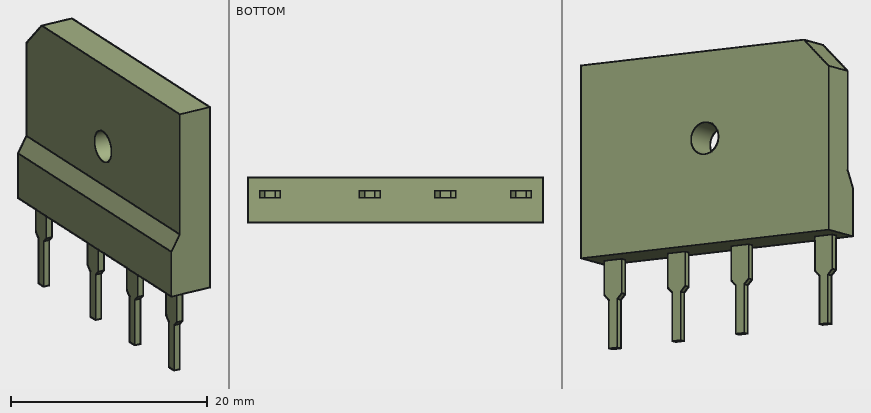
import cadquery as cq
import math

body_width = 30.0
body_height = 19.92
base_depth = 4.6
upper_depth = 3.6
base_height = 4.95
slope_angle = 60.0
slope_rise = (base_depth - upper_depth) * math.tan(math.radians(slope_angle))
corner_chamfer = 3.0

hole_diameter = 3.3
hole_drop = 9.0

lead_length = 9.1
lead_thickness = 0.7
lead_offset = 2.88
lead_wide = 2.13
lead_narrow = 1.05
shoulder_drop = 3.55
lead_inset = 2.25
lead_pitch = 7.68


def make_body():
    """Side profile run across the width, with one top corner cut off."""
    body = (
        cq.Workplane("YZ")
        .moveTo(0, 0)
        .lineTo(-base_depth, 0)
        .lineTo(-base_depth, base_height)
        .lineTo(-upper_depth, base_height + slope_rise)
        .lineTo(-upper_depth, body_height)
        .lineTo(0, body_height)
        .close()
        .extrude(body_width / 2, both=True)
    )
    return body.edges("|Y and >Z and <X").chamfer(corner_chamfer)


def make_mounting_hole():
    """Cutter for the round hole through the upper plate."""
    return (
        cq.Workplane("XZ")
        .center(0, body_height - hole_drop)
        .circle(hole_diameter / 2)
        .extrude(base_depth)
    )


def make_lead(x):
    """Flat lead below the body, narrowing at a 45 degree shoulder."""
    half_wide = lead_wide / 2
    half_narrow = lead_narrow / 2
    taper_end = shoulder_drop + half_wide - half_narrow
    return (
        cq.Workplane("XZ", origin=(x, -lead_offset, 0))
        .moveTo(-half_wide, 0)
        .lineTo(-half_wide, -shoulder_drop)
        .lineTo(-half_narrow, -taper_end)
        .lineTo(-half_narrow, -lead_length)
        .lineTo(half_narrow, -lead_length)
        .lineTo(half_narrow, -taper_end)
        .lineTo(half_wide, -shoulder_drop)
        .lineTo(half_wide, 0)
        .close()
        .extrude(lead_thickness / 2, both=True)
    )


outer_lead_x = body_width / 2 - lead_inset
lead_positions = [-outer_lead_x] + [outer_lead_x - i * lead_pitch for i in range(3)]

result = make_body().cut(make_mounting_hole())
for lead_x in lead_positions:
    result = result.union(make_lead(lead_x))